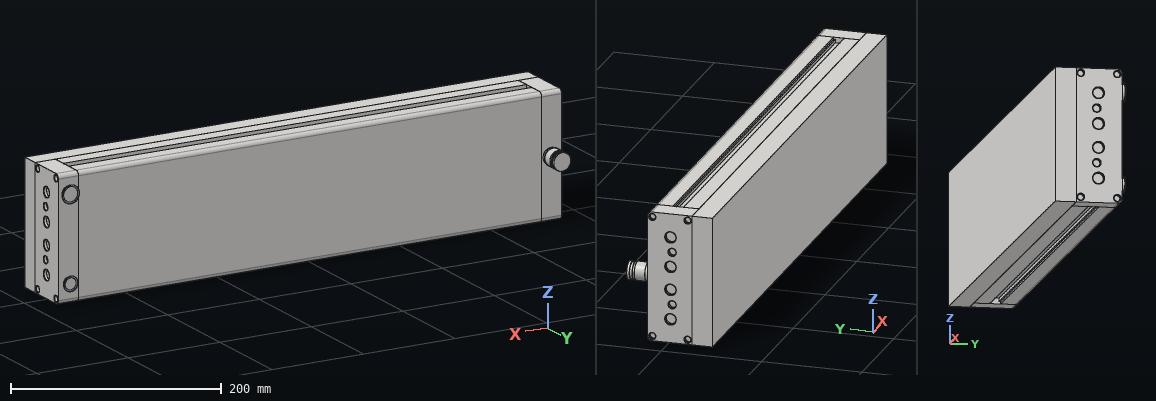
import cadquery as cq

LENGTH = 550.0
HEIGHT = 130.0
TOTAL_DEPTH = 86.5
BODY_DEPTH = 65.0
PLATE_DEPTH = 20.5
CAP_LENGTH = 22.0
BACK_EDGE_RADIUS = 4.5

SLOT_FRONT_Y = 36.0
SLOT_WIDTH = 9.0
SLOT_DEPTH = 5.5
LEDGE_WIDTH = 1.5
LEDGE_DEPTH = 2.0

HOLE_DEPTH = 3.5
HOLE_CHAMFER = 0.5
SCREW_DIAMETER = 7.0
SCREW_EDGE_INSET = 5.0
SCREW_PLATE_INSET = 4.5
SCREW_Z = HEIGHT / 2 - SCREW_EDGE_INSET
SCREW_BACK_Y = BODY_DEPTH - SCREW_EDGE_INSET
SCREW_FRONT_Y = PLATE_DEPTH + SCREW_PLATE_INSET
PORT_DIAMETER = 11.5
PORT_Y = 42.0
PORT_PAIR_Z = 26.5
PORT_HALF_PITCH = 15.0
PILOT_DIAMETER = 8.0
PILOT_Y = 40.0

BACK_FITTING_INSET = 11.5
CONNECTOR_RADIUS = 9.5
CONNECTOR_LENGTH = TOTAL_DEPTH - BODY_DEPTH
COLLAR_LENGTH = 3.5
COLLAR_RADIUS = 9.0
RIM_LENGTH = 2.0
RIM_STEP = 0.3
RIM_RADIUS = CONNECTOR_RADIUS - RIM_STEP
BARREL_END = 16.0
GROOVE_END = 18.5
GROOVE_RADIUS = 8.0

PLUG_Z = 44.5
UPPER_PLUG_RADIUS = 9.5
LOWER_PLUG_RADIUS = 7.5
PLUG_STEP = 1.5
PLUG_NECK = 3.5
PLUG_HEIGHT = 4.0


def body_section(start_x, length):
    """Block behind the plate with its two back edges rounded."""
    block = cq.Workplane("XY").box(length, BODY_DEPTH - PLATE_DEPTH, HEIGHT, centered=(False, False, True))
    return block.edges("|X and >Y").fillet(BACK_EDGE_RADIUS).translate((start_x, PLATE_DEPTH, 0))


def turned(profile, x, z):
    """Solid of revolution about a Y axis on the back face; profile lists (radius, height)."""
    outline = [(0, 0)] + profile + [(0, profile[-1][1])]
    solid = cq.Workplane("XY").polyline(outline).close().revolve(360, (0, 0, 0), (0, 1, 0))
    return solid.translate((x, BODY_DEPTH, z))


def cut_holes(cap, places, diameter, face_x, inward):
    """Cut blind holes with chamfered rims into an outer end face; places lists (y, z)."""
    rim_radius = diameter / 2
    bore_radius = rim_radius - HOLE_CHAMFER
    direction = cq.Vector(inward, 0, 0)
    for y, z in places:
        center = cq.Vector(face_x, y, z)
        bore = cq.Solid.makeCylinder(bore_radius, HOLE_DEPTH, center, direction)
        rim = cq.Solid.makeCone(rim_radius, bore_radius, HOLE_CHAMFER, center, direction)
        cap = cap.cut(cq.Workplane(bore)).cut(cq.Workplane(rim))
    return cap


def make_end_cap(start_x, face_x, inward):
    cap = body_section(start_x, CAP_LENGTH)
    screws = [(y, side * SCREW_Z) for y in (SCREW_FRONT_Y, SCREW_BACK_Y) for side in (-1, 1)]
    pairs = (-PORT_PAIR_Z, PORT_PAIR_Z)
    ports = [(PORT_Y, z + side * PORT_HALF_PITCH) for z in pairs for side in (-1, 1)]
    pilots = [(PILOT_Y, z) for z in pairs]
    cap = cut_holes(cap, screws, SCREW_DIAMETER, face_x, inward)
    cap = cut_holes(cap, ports, PORT_DIAMETER, face_x, inward)
    return cut_holes(cap, pilots, PILOT_DIAMETER, face_x, inward)


def make_connector():
    profile = [
        (COLLAR_RADIUS, 0),
        (COLLAR_RADIUS, COLLAR_LENGTH),
        (CONNECTOR_RADIUS, COLLAR_LENGTH),
        (CONNECTOR_RADIUS, BARREL_END - RIM_LENGTH),
        (RIM_RADIUS, BARREL_END - RIM_LENGTH),
        (RIM_RADIUS, BARREL_END),
        (GROOVE_RADIUS, BARREL_END),
        (GROOVE_RADIUS, GROOVE_END),
        (CONNECTOR_RADIUS, GROOVE_END),
        (CONNECTOR_RADIUS, CONNECTOR_LENGTH),
    ]
    return turned(profile, BACK_FITTING_INSET, 0)


def make_plug(radius, z):
    neck_radius = radius - PLUG_STEP
    profile = [(neck_radius, 0), (neck_radius, PLUG_NECK), (radius, PLUG_NECK), (radius, PLUG_HEIGHT)]
    return turned(profile, LENGTH - BACK_FITTING_INSET, z)


def make_housing():
    span = LENGTH - 2 * CAP_LENGTH
    housing = body_section(CAP_LENGTH, span)
    for width, depth in ((SLOT_WIDTH, SLOT_DEPTH), (SLOT_WIDTH + LEDGE_WIDTH, LEDGE_DEPTH)):
        step = cq.Workplane("XY").box(span, width, 2 * depth, centered=(False, False, True))
        for side in (-1, 1):
            housing = housing.cut(step.translate((CAP_LENGTH, SLOT_FRONT_Y, side * HEIGHT / 2)))
    return housing


plate = cq.Workplane("XY").box(LENGTH, PLATE_DEPTH, HEIGHT, centered=(False, False, True))
housing = make_housing()
left_cap = make_end_cap(0, 0, 1).union(make_connector())
right_cap = make_end_cap(LENGTH - CAP_LENGTH, LENGTH, -1)
right_cap = right_cap.union(make_plug(UPPER_PLUG_RADIUS, PLUG_Z))
right_cap = right_cap.union(make_plug(LOWER_PLUG_RADIUS, -PLUG_Z))

result = cq.Compound.makeCompound([plate.val(), housing.val(), left_cap.val(), right_cap.val()])